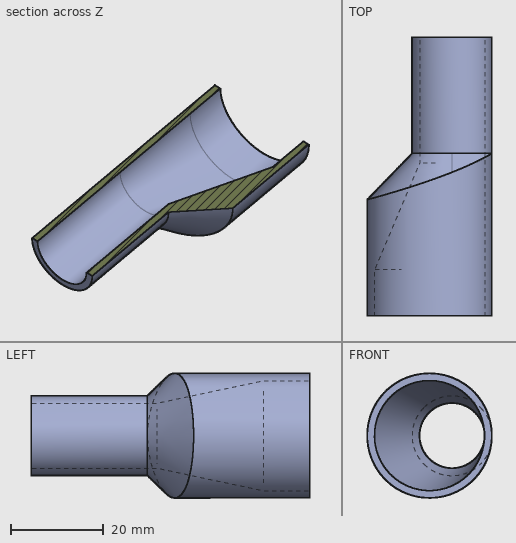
import cadquery as cq

length = 60.0
large_diameter = 26.9
large_bore = 23.7
small_diameter = 17.2
small_bore = 14.0
small_length = 25.0
shoulder_length = 9.95
socket_depth = 10.0
taper_end = 33.0

offset = (large_diameter - small_diameter) / 2
shoulder_end = length - small_length
shoulder_start = shoulder_end - shoulder_length
AXIS = cq.Vector(0, 1, 0)


def rod(diameter, x, start, end):
    """Solid cylinder along Y."""
    return cq.Workplane(cq.Solid.makeCylinder(diameter / 2, end - start, cq.Vector(x, start, 0), AXIS))


cone_reach = large_diameter / 2 + offset
cone = cq.Workplane(
    cq.Solid.makeCone(
        cone_reach, small_diameter / 2, shoulder_length, cq.Vector(offset, shoulder_start, 0), AXIS
    )
)
shoulder = rod(large_diameter, 0, shoulder_start, shoulder_end).intersect(cone)
large_pipe = rod(large_diameter, 0, 0, shoulder_start)
small_pipe = rod(small_diameter, offset, shoulder_end, length)
outer = large_pipe.union(shoulder).union(small_pipe)

bore_offset = (large_bore - small_bore) / 2
taper = cq.Workplane(
    cq.Solid.makeLoft(
        [
            cq.Wire.makeCircle(large_bore / 2, cq.Vector(0, socket_depth, 0), AXIS),
            cq.Wire.makeCircle(small_bore / 2, cq.Vector(bore_offset, taper_end, 0), AXIS),
        ],
        True,
    )
)
large_socket = rod(large_bore, 0, 0, socket_depth)
small_socket = rod(small_bore, bore_offset, taper_end, length)

result = outer.cut(large_socket).cut(taper).cut(small_socket)